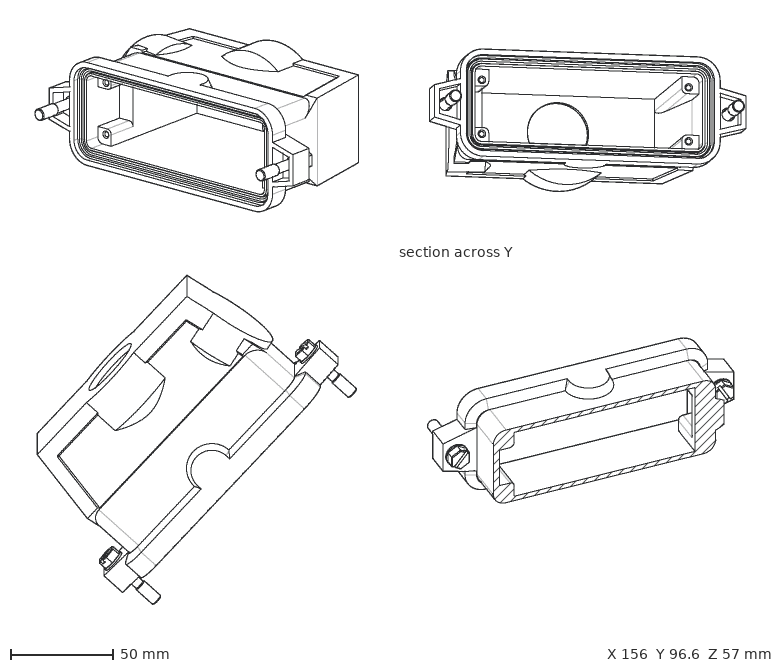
import cadquery as cq
import math


flange_half_x = 65.0
flange_half_z = 26.7
flange_corner_radius = 11.4
flange_depth = 12.5
flange_straight_depth = 10.0

body_half_x = 59.7
body_half_z = 43.2 / 2
body_corner_radius = 6.9
body_end_y = 39.0

top_y = 80.2
draft_angle = 10
draft = math.tan(math.radians(draft_angle))
hull_top_half_x = 52.7
hull_half_z = 22.8
hull_draft_end_y = top_y - (body_half_x - hull_top_half_x) / draft
chamfer_start_y = 40.2
chamfer_end_y = 31.0
chamfer_end_half_z = 14.7

panel_depth = 0.8
panel_border = 7.3
panel_half_z = hull_half_z - panel_depth
panel_top_y = 71.8
panel_open_y = 23.4

entry_radius = 57.0 / 2
entry_start_y = 60.0
entry_cone_length = 9.4
entry_bore_radius = 15.3

pad_radius = 24.8
pad_center_y = 55.2
pad_top_x = -55.5
pad_length = 18.3
pad_cone_length = 6.2

thumb_radius = 12.5
thumb_center_y = 12.3
thumb_foot_y = 3.1
thumb_face_radius = 10.3

cavity_half_x = 57.0
cavity_half_z = 18.7
cavity_corner_radius = 3.1
cavity_floor_y = 77.2
cavity_floor_half_x = 48.4
seat_outset = 5.1
seat_depth = 2.8
rim_depth = 3.5
ledge_outset = 4.0
groove_inner_outset = 1.2
groove_depth = 6.0
gasket_inner_outset = 1.5
gasket_outer_outset = 3.6
gasket_depth = 3.7
gasket_bevel = 1.0

post_end_y = 12.0
post_inner_x = cavity_floor_half_x
post_inner_z = 10.3
post_edge_radius = 2.5
post_hole_x = 51.8
post_hole_z = 13.4
post_hole_radius = 1.2
post_countersink = 0.6
post_hole_depth = 15.6

ear_end_x = 78.0
ear_end_half_z = 8.1
ear_root_half_z = 11.5
ear_wall = 2.5
ear_pocket_depth = 7.8
ear_hole_radius = 3.3

screw_x = 70.8
shank_radius = 2.5
shank_exposed = 4.7
thread_radius = 3.0
thread_tip_y = -16.4
thread_chamfer = 0.5
washer_radius = 5.8
washer_thickness = 1.0
head_corner_radius = 5.6
head_height = 4.5
head_chamfer = 0.5
slot_width = 1.5
slot_depth = 1.9
slot_angles = {-screw_x: 60, screw_x: 130}


def section(y):
    """Plane across the hood at the given y, extruding towards +Y."""
    return cq.Workplane(cq.Plane(origin=(0, y, 0), xDir=(1, 0, 0), normal=(0, 1, 0)))


def rounded_block(half_x, half_z, radius, start_y, end_y, taper=0):
    outline = cq.Sketch().rect(2 * half_x, 2 * half_z).vertices().fillet(radius)
    return section(start_y).placeSketch(outline).extrude(end_y - start_y, taper=taper)


def cylinder(x, z, radius, start_y, end_y):
    return section(start_y).center(x, -z).circle(radius).extrude(end_y - start_y)


def both_sides(solid, plane):
    return solid.union(solid.mirror(plane))


def make_flange():
    slope_height = flange_depth - flange_straight_depth
    slope = math.degrees(math.atan((flange_half_z - body_half_z) / slope_height))
    size = (flange_half_x, flange_half_z, flange_corner_radius)
    straight = rounded_block(*size, 0, flange_straight_depth)
    return straight.union(rounded_block(*size, flange_straight_depth, flange_depth, slope))


def make_hull():
    outline = (
        cq.Workplane("XY")
        .moveTo(-body_half_x, chamfer_end_y)
        .lineTo(body_half_x, chamfer_end_y)
        .lineTo(body_half_x, hull_draft_end_y)
        .lineTo(hull_top_half_x, top_y)
        .lineTo(-hull_top_half_x, top_y)
        .lineTo(-body_half_x, hull_draft_end_y)
        .close()
    )
    profile = (
        cq.Workplane("YZ")
        .moveTo(chamfer_end_y, -chamfer_end_half_z)
        .lineTo(chamfer_start_y, -hull_half_z)
        .lineTo(top_y, -hull_half_z)
        .lineTo(top_y, hull_half_z)
        .lineTo(chamfer_start_y, hull_half_z)
        .lineTo(chamfer_end_y, chamfer_end_half_z)
        .close()
    )
    drafted = outline.extrude(hull_half_z, both=True)
    return drafted.intersect(profile.extrude(body_half_x, both=True))


def pad_face_x(y):
    return pad_top_x - (top_y - y) * draft


def make_pad_block():
    """Flat part of the -X pad, between the round pad and the top."""
    return (
        cq.Workplane("XY")
        .moveTo(pad_top_x, top_y)
        .lineTo(0, top_y)
        .lineTo(0, pad_center_y)
        .lineTo(pad_face_x(pad_center_y), pad_center_y)
        .close()
        .extrude(hull_half_z, both=True)
    )


def make_panels():
    """Cutters for the recessed panels, with 45 degree walls and an open lower end."""
    top_half_x = hull_top_half_x + (top_y - panel_top_y) * draft - panel_border - panel_depth
    open_half_x = top_half_x + (panel_top_y - panel_open_y) * draft
    cutter = (
        cq.Workplane("XY")
        .workplane(offset=panel_half_z)
        .moveTo(-open_half_x, panel_open_y)
        .lineTo(open_half_x, panel_open_y)
        .lineTo(top_half_x, panel_top_y)
        .lineTo(-top_half_x, panel_top_y)
        .close()
        .extrude(2 * panel_depth, taper=-45)
    )
    return both_sides(cutter, "XY")


def make_coned_boss(plane, radius, length, cone_length):
    """Cylinder along the plane normal that ends in a 45 degree cone."""
    return (
        cq.Workplane(plane)
        .circle(radius)
        .extrude(length)
        .faces(cq.selectors.DirectionMinMaxSelector(plane.zDir))
        .workplane()
        .circle(radius)
        .extrude(cone_length, taper=45)
    )


def make_entry_boss():
    plane = cq.Plane(origin=(0, top_y, 0), xDir=(1, 0, 0), normal=(0, -1, 0))
    return make_coned_boss(plane, entry_radius, top_y - entry_start_y, entry_cone_length)


def make_round_pad():
    center = (pad_face_x(pad_center_y), pad_center_y, 0)
    plane = cq.Plane(origin=center, xDir=(draft, 1, 0), normal=(1, -draft, 0))
    return make_coned_boss(plane, pad_radius, pad_length, pad_cone_length)


def make_thumb_bosses():
    height = flange_half_z - body_half_z
    taper = math.degrees(math.atan((thumb_radius - thumb_face_radius) / height))
    boss = (
        cq.Workplane("XY")
        .workplane(offset=body_half_z)
        .moveTo(-thumb_radius, thumb_foot_y)
        .lineTo(thumb_radius, thumb_foot_y)
        .lineTo(thumb_radius, thumb_center_y)
        .threePointArc((0, thumb_center_y + thumb_radius), (-thumb_radius, thumb_center_y))
        .close()
        .extrude(height, taper=taper)
    )
    return both_sides(boss, "XY")


def make_cavity():
    """Rounded opening; towards the floor the +X end leans inwards and the -X end steps inwards."""
    opening = rounded_block(cavity_half_x, cavity_half_z, cavity_corner_radius, 0, cavity_floor_y)
    lean_start_y = cavity_floor_y - (cavity_half_x - cavity_floor_half_x) / draft
    envelope = (
        cq.Workplane("XY")
        .moveTo(-cavity_half_x, 0)
        .lineTo(cavity_half_x, 0)
        .lineTo(cavity_half_x, lean_start_y)
        .lineTo(cavity_floor_half_x, cavity_floor_y)
        .lineTo(-cavity_floor_half_x, cavity_floor_y)
        .lineTo(-cavity_floor_half_x, lean_start_y)
        .lineTo(-cavity_half_x, lean_start_y)
        .close()
        .extrude(cavity_half_z, both=True)
    )
    return opening.intersect(envelope)


def seat_block(outset, start_y, end_y, taper=0):
    half_x = cavity_half_x + outset
    half_z = cavity_half_z + outset
    radius = flange_corner_radius - (flange_half_x - half_x)
    return rounded_block(half_x, half_z, radius, start_y, end_y, taper)


def seat_ring(outer_outset, inner_outset, start_y):
    """Ring around the cavity that reaches down to the groove floor."""
    outer = seat_block(outer_outset, start_y, groove_depth)
    return outer.cut(seat_block(inner_outset, start_y, groove_depth))


def make_seal_seat():
    """Recess with a narrow ledge, the lower cavity rim and a groove that holds a gasket."""
    recess = seat_block(seat_outset, 0, seat_depth)
    rim_recess = seat_block(ledge_outset, 0, rim_depth)
    groove = seat_ring(ledge_outset, groove_inner_outset, seat_depth)
    gasket = seat_ring(gasket_outer_outset, gasket_inner_outset, gasket_depth)
    bevel_outset = gasket_inner_outset + gasket_bevel
    bevel = seat_block(bevel_outset, gasket_depth, gasket_depth + gasket_bevel, 45)
    gasket = gasket.cut(bevel)
    return recess.union(rim_recess).union(groove).cut(gasket)


def make_posts():
    size_x = cavity_half_x - post_inner_x
    size_z = cavity_half_z - post_inner_z
    center_x = post_inner_x + size_x / 2
    center_z = post_inner_z + size_z / 2
    length = cavity_floor_y - post_end_y
    post = (
        section(post_end_y)
        .center(center_x, -center_z)
        .rect(size_x, size_z)
        .extrude(length)
        .edges("|Y and <X and <Z")
        .fillet(post_edge_radius)
    )
    hole_end_y = post_end_y + post_hole_depth
    post = post.cut(cylinder(post_hole_x, post_hole_z, post_hole_radius, post_end_y, hole_end_y))
    countersink = (
        section(post_end_y)
        .center(post_hole_x, -post_hole_z)
        .circle(post_hole_radius + post_countersink)
        .extrude(post_countersink, taper=45)
    )
    post = post.cut(countersink)
    return both_sides(both_sides(post, "XY"), "YZ").intersect(make_cavity())


def ear_block(root_x, root_half_z, end_x, end_half_z, depth):
    return (
        section(0)
        .moveTo(root_x, -root_half_z)
        .lineTo(end_x, -end_half_z)
        .lineTo(end_x, end_half_z)
        .lineTo(root_x, root_half_z)
        .close()
        .extrude(depth)
    )


def make_ears():
    slope = (ear_root_half_z - ear_end_half_z) / (ear_end_x - flange_half_x)
    overlap = flange_half_x - body_half_x
    inner_root = ear_root_half_z + slope * overlap
    ear = ear_block(body_half_x, inner_root, ear_end_x, ear_end_half_z, flange_depth)
    wall_z = ear_wall * math.hypot(1, slope)
    pocket_end_half_z = ear_end_half_z + slope * ear_wall - wall_z
    pocket = ear_block(
        flange_half_x,
        ear_root_half_z - wall_z,
        ear_end_x - ear_wall,
        pocket_end_half_z,
        ear_pocket_depth,
    )
    screw_hole = cylinder(screw_x, 0, ear_hole_radius, 0, flange_depth)
    return both_sides(ear.cut(pocket).cut(screw_hole), "YZ")


def make_screw(x, slot_angle):
    washer_end_y = flange_depth + washer_thickness
    head_end_y = washer_end_y + head_height
    shank = cylinder(x, 0, shank_radius, -shank_exposed, flange_depth)
    thread = cylinder(x, 0, thread_radius, thread_tip_y, -shank_exposed).faces("<Y or >Y")
    thread = thread.chamfer(thread_chamfer)
    washer = cylinder(x, 0, washer_radius, flange_depth, washer_end_y)
    head = (
        section(washer_end_y)
        .center(x, 0)
        .transformed(rotate=(0, 0, 90))
        .polygon(6, 2 * head_corner_radius)
        .extrude(head_height)
        .faces(">Y")
        .chamfer(head_chamfer)
    )
    slot = (
        section(head_end_y - slot_depth)
        .center(x, 0)
        .transformed(rotate=(0, 0, -slot_angle))
        .rect(2 * washer_radius, slot_width)
        .extrude(slot_depth)
    )
    return shank.union(thread).union(washer).union(head.cut(slot))


hood = make_hull().union(make_pad_block()).cut(make_panels())
hood = hood.union(make_entry_boss()).union(make_round_pad())
hood = hood.union(rounded_block(body_half_x, body_half_z, body_corner_radius, 0, body_end_y))
hood = hood.union(make_flange()).union(make_thumb_bosses())

hood = hood.cut(make_cavity()).cut(make_seal_seat())
hood = hood.union(make_posts())
hood = hood.cut(cylinder(0, 0, entry_bore_radius, cavity_floor_y, top_y))

ears = make_ears().cut(make_seal_seat()).cut(make_cavity())
hood = hood.union(ears)
for x, slot_angle in slot_angles.items():
    hood = hood.union(make_screw(x, slot_angle))

result = hood